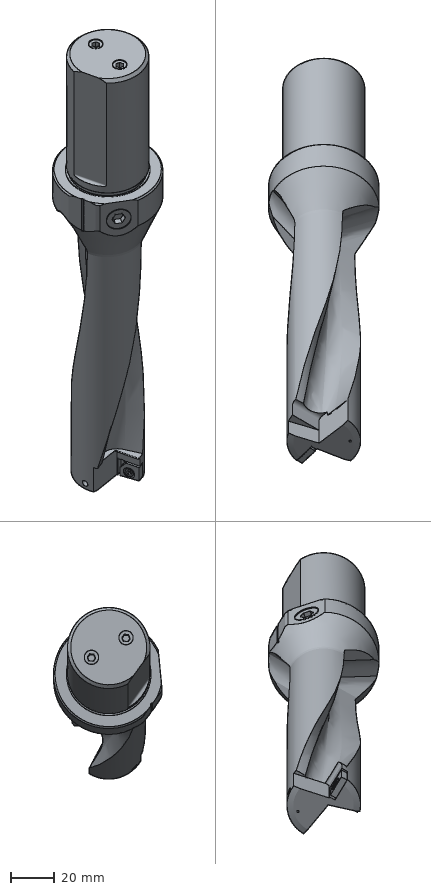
import cadquery as cq
import math


TOTAL_LENGTH = 253.0
SHANK_BOTTOM = 185.2
COLLAR_TOP = 183.5
COLLAR_BOTTOM = 167.3
CONE_BOTTOM = 146.0
FLUTED_TOP = 144.5
TIP_Z = 0.8

SHANK_RADIUS = 19.0
RELIEF_RADIUS = 18.2
COLLAR_DIAMETER = 50.9
COLLAR_RADIUS = COLLAR_DIAMETER / 2
COLLAR_GROOVE_RADIUS = 19.5
COLLAR_GROOVE_DEPTH = 0.5
CONE_END_RADIUS = 17.2
DRILL_RADIUS = 17.0
OUTSIDE = 2 * COLLAR_RADIUS

SHANK_BEVEL = 1.5
COLLAR_BEVEL = 0.8
TIP_BEVEL_WIDTH = 3.0
TIP_BEVEL_HEIGHT = 0.8

SHANK_FLAT_OFFSET = 17.0
SHANK_FLAT_BOTTOM = 189.0
SHANK_FLAT_ROOT = 0.8

COLLAR_DEPTH = 49.8
FRONT_FLAT_OFFSET = COLLAR_DEPTH - COLLAR_RADIUS
PLUG_FLAT_OFFSET = 23.8
PLUG_FLAT_ANGLE = -49.0
MARK_WIDTH = 1.0
MARK_DEPTH = 0.5
MARK_BOTTOM = 164.0

SIDE_PLUG_DIAMETER = 11.6
SIDE_PLUG_LENGTH = 7.5
SIDE_PLUG_SOCKET = 6.3
SIDE_PLUG_Z = 172.8
END_PLUG_DIAMETER = 6.5
END_PLUG_LENGTH = 6.3
END_PLUG_SOCKET = 3.8
END_PLUG_X = 8.4
END_PLUG_Y = -3.8
PLUG_RECESS = 0.5
SOCKET_DEPTH = 3.0

FLUTE_WALL_OUTER = (-2.0, -25.3)
FLUTE_WALL_INNER = (-0.8, -8.4)
FLUTE_FLOOR_MIDDLE = (-1.3, -3.8)
FLUTE_FLOOR_END = (-2.5, -1.5)
FIRST_LIP = [(-12.7, 1.0), (-25.3, 3.8)]
SECOND_LIP = [(-12.1, -0.5), (-25.3, 2.3)]
FLUTE_TOP = 147.5
FLUTE_BOTTOM = 16.2
FLUTE_STEPS = 12
SECOND_FLUTE_ANGLE = 186.0
TWIST_EASE_LENGTH = 70.9
TWIST_RATE = 0.8536
RUNOUT_DIRECTION = (-0.3, -1.1, 1.0)
RUNOUT_HEIGHT = 30.4

CENTRE_NOTCH_TOP = 18.5
CENTRE_NOTCH_STEP = 9.9
CENTRE_NOTCH_CORNER = (1.5, 1.5)
CENTRE_NOTCH_EDGE_Y = -2.3
CENTRE_NOTCH_LOWER_EDGE = (6.0, 17.7)
OUTER_NOTCH_TOP = 16.2
NOTCH_FILLET = 1.8
OUTER_NOTCH_CORNER_X = 4.8
OUTER_NOTCH_EDGE_X = 1.8
TIP_NIB_CENTRE = (-8.0, -9.0)
TIP_NIB_RADIUS = 0.5
TIP_HOLE_X = -2.8
TIP_HOLE_Z = 4.8
TIP_HOLE_DIAMETER = 3.0

INSERT_LEFT = 6.3
INSERT_RIGHT = 16.5
INSERT_TOP = 9.5
INSERT_SLOPE = 0.8
INSERT_THICKNESS = 3.0
INSERT_CORNER_WIDTH = 3.3
INSERT_CORNER_HEIGHT = 4.0
INSERT_GAP = 1.0
RELIEF_HOLE_X = 7.5
RELIEF_HOLE_Z = 9.0
RELIEF_HOLE_DIAMETER = 3.5
RELIEF_HOLE_DEPTH = 4.0
SCREW_X = 11.1
SCREW_Z = 4.3
COUNTERSINK = 0.8
SCREW_HEAD_DIAMETER = 4.3
SCREW_HEAD_LENGTH = 2.0
SCREW_SHANK_DIAMETER = 3.0
SCREW_LENGTH = 7.5
SCREW_SOCKET = 2.5
SCREW_SOCKET_DEPTH = 1.3


def blank():
    """Turned shape of the drill body."""
    outline = [
        (0, TIP_Z),
        (DRILL_RADIUS - TIP_BEVEL_WIDTH, TIP_Z),
        (DRILL_RADIUS, TIP_Z + TIP_BEVEL_HEIGHT),
        (DRILL_RADIUS, FLUTED_TOP),
        (CONE_END_RADIUS, CONE_BOTTOM),
        (COLLAR_RADIUS, COLLAR_BOTTOM),
        (COLLAR_RADIUS, COLLAR_TOP - COLLAR_BEVEL),
        (COLLAR_RADIUS - COLLAR_BEVEL, COLLAR_TOP),
        (COLLAR_GROOVE_RADIUS, COLLAR_TOP),
        (COLLAR_GROOVE_RADIUS, COLLAR_TOP - COLLAR_GROOVE_DEPTH),
        (RELIEF_RADIUS, COLLAR_TOP - COLLAR_GROOVE_DEPTH),
        (RELIEF_RADIUS, SHANK_BOTTOM - (SHANK_RADIUS - RELIEF_RADIUS)),
        (SHANK_RADIUS, SHANK_BOTTOM),
        (SHANK_RADIUS, TOTAL_LENGTH - SHANK_BEVEL),
        (SHANK_RADIUS - SHANK_BEVEL, TOTAL_LENGTH),
        (0, TOTAL_LENGTH),
    ]
    return cq.Workplane("XZ").polyline(outline).close().revolve(360, (0, 0), (0, 1))


def outer_block(offset, angle, bottom, top):
    """Block that leaves a flat at a distance from the axis, facing the given angle."""
    block = cq.Workplane("XY").box(OUTSIDE, 2 * OUTSIDE, top - bottom, centered=(False, True, False))
    return block.translate((offset, 0, bottom)).rotate((0, 0, 0), (0, 0, 1), angle)


def cut_flats(body):
    shank_block = outer_block(SHANK_FLAT_OFFSET, -90, SHANK_FLAT_BOTTOM, TOTAL_LENGTH)
    body = body.cut(shank_block.edges(">Y and <Z").fillet(SHANK_FLAT_ROOT))
    body = body.cut(outer_block(FRONT_FLAT_OFFSET, -90, CONE_BOTTOM, COLLAR_TOP))
    body = body.cut(outer_block(PLUG_FLAT_OFFSET, PLUG_FLAT_ANGLE, CONE_BOTTOM, COLLAR_TOP))
    mark_height = COLLAR_TOP - MARK_BOTTOM
    mark = cq.Workplane("XY").box(MARK_WIDTH, 2 * MARK_DEPTH, mark_height, centered=(True, True, False))
    return body.cut(mark.translate((0, -FRONT_FLAT_OFFSET, MARK_BOTTOM)))


def flute_twist(z):
    """Degrees the flute section has turned at height z, zero at the upper end."""
    run = FLUTE_TOP - z
    eased = min(run, TWIST_EASE_LENGTH)
    return TWIST_RATE * (eased**2 / (2 * TWIST_EASE_LENGTH) + run - eased)


def flute_section(z, lip):
    """Closed flute wire at height z: straight wall, round bottom, sloping lip, open outside."""
    lip_start, lip_end = lip
    wire = (
        cq.Workplane("XY")
        .moveTo(*FLUTE_WALL_OUTER)
        .lineTo(*FLUTE_WALL_INNER)
        .threePointArc(FLUTE_FLOOR_MIDDLE, FLUTE_FLOOR_END)
        .tangentArcPoint(lip_start, relative=False)
        .lineTo(*lip_end)
        .lineTo(lip_end[0], FLUTE_WALL_OUTER[1])
        .close()
        .val()
    )
    return wire.rotate(cq.Vector(), cq.Vector(0, 0, 1), -flute_twist(z)).translate(cq.Vector(0, 0, z))


def flute_cutters(lip):
    """Twisted groove and the run-out that rises outwards from its upper end through the cone."""
    step = (FLUTE_TOP - FLUTE_BOTTOM) / FLUTE_STEPS
    sections = [flute_section(FLUTE_BOTTOM + i * step, lip) for i in range(FLUTE_STEPS + 1)]
    groove = cq.Solid.makeLoft(sections)
    rise = cq.Vector(*RUNOUT_DIRECTION) * RUNOUT_HEIGHT
    return [groove, cq.Solid.extrudeLinear(sections[-1], [], rise)]


def cut_flutes(body):
    for angle, lip in ((0, FIRST_LIP), (SECOND_FLUTE_ANGLE, SECOND_LIP)):
        for cutter in flute_cutters(lip):
            body = body.cut(cq.Workplane(cutter.rotate(cq.Vector(), cq.Vector(0, 0, 1), angle)))
    return body


def centre_notch_cutter(floor_end, top):
    """Prism from the tip to the given height, bounded by the notch wall and a floor."""
    wall_edge = (-COLLAR_RADIUS, CENTRE_NOTCH_EDGE_Y)
    outline = [wall_edge, CENTRE_NOTCH_CORNER, floor_end, (-COLLAR_RADIUS, COLLAR_RADIUS)]
    return cq.Workplane("XY").polyline(outline).close().extrude(top)


def cut_centre_notch(body):
    """Notch on the -X side, with a deeper sloping floor next to the tip."""
    upper = centre_notch_cutter((CENTRE_NOTCH_CORNER[0], COLLAR_RADIUS), CENTRE_NOTCH_TOP)
    lower = centre_notch_cutter(CENTRE_NOTCH_LOWER_EDGE, CENTRE_NOTCH_STEP)
    return body.cut(upper.edges(">X and >Z").fillet(NOTCH_FILLET)).cut(lower)


def cut_outer_notch(body):
    """Notch on the +X side; its flat seat lies in the plane of the axis."""
    outline = [
        (COLLAR_RADIUS, 0),
        (OUTER_NOTCH_CORNER_X, 0),
        (OUTER_NOTCH_EDGE_X, -DRILL_RADIUS),
        (OUTER_NOTCH_EDGE_X, -COLLAR_RADIUS),
        (COLLAR_RADIUS, -COLLAR_RADIUS),
    ]
    cutter = cq.Workplane("XY").polyline(outline).close().extrude(OUTER_NOTCH_TOP)
    return body.cut(cutter.edges(">Y and >Z").fillet(NOTCH_FILLET))


def front_cylinder(x, z, diameter, start, length):
    """Cylinder running toward +Y from y = start."""
    return cq.Workplane("XZ", origin=(x, start, z)).circle(diameter / 2).extrude(-length)


def add_tip_nib(body):
    """Small pointed nib that makes the lowest point of the drill."""
    nib = cq.Solid.makeCone(0, TIP_NIB_RADIUS, TIP_Z, cq.Vector(*TIP_NIB_CENTRE, 0))
    return body.union(cq.Workplane(nib))


def cut_tip_hole(body):
    """Cross hole from the -Y surface to the centre notch."""
    hole = front_cylinder(TIP_HOLE_X, TIP_HOLE_Z, TIP_HOLE_DIAMETER, -COLLAR_RADIUS, COLLAR_RADIUS)
    return body.cut(hole)


def insert_plate():
    """Insert plate with its inner upper corner cut off."""
    outline = [
        (INSERT_LEFT, TIP_Z),
        (INSERT_RIGHT, TIP_Z + INSERT_SLOPE),
        (INSERT_RIGHT, INSERT_TOP),
        (INSERT_LEFT + INSERT_CORNER_WIDTH, INSERT_TOP),
        (INSERT_LEFT, INSERT_TOP - INSERT_CORNER_HEIGHT),
    ]
    return cq.Workplane("XZ").polyline(outline).close().extrude(-INSERT_THICKNESS)


def cut_insert_pocket(body):
    """Recess that holds the insert with a gap on two sides, and a relief hole at its corner."""
    left = INSERT_LEFT - INSERT_GAP
    height = INSERT_TOP + INSERT_GAP
    pocket = cq.Workplane("XY").box(OUTSIDE, INSERT_THICKNESS, height, centered=False)
    body = body.cut(pocket.translate((left, 0, 0)))
    return body.cut(
        front_cylinder(RELIEF_HOLE_X, RELIEF_HOLE_Z, RELIEF_HOLE_DIAMETER, 0, RELIEF_HOLE_DEPTH)
    )


def screw_blank():
    head = front_cylinder(SCREW_X, SCREW_Z, SCREW_HEAD_DIAMETER, 0, SCREW_HEAD_LENGTH)
    return head.union(front_cylinder(SCREW_X, SCREW_Z, SCREW_SHANK_DIAMETER, 0, SCREW_LENGTH))


def make_insert():
    """Insert with a countersunk hole filled by the screw."""
    head_radius = SCREW_HEAD_DIAMETER / 2
    countersink = cq.Solid.makeCone(
        head_radius + COUNTERSINK,
        head_radius,
        COUNTERSINK,
        cq.Vector(SCREW_X, 0, SCREW_Z),
        cq.Vector(0, 1, 0),
    )
    return insert_plate().cut(cq.Workplane(countersink)).cut(screw_blank())


def make_screw():
    socket = cq.Workplane("XZ", origin=(SCREW_X, 0, SCREW_Z)).polygon(6, SCREW_SOCKET)
    return screw_blank().cut(socket.extrude(-SCREW_SOCKET_DEPTH))


def side_plug_plane():
    angle = math.radians(PLUG_FLAT_ANGLE)
    outward = (math.cos(angle), math.sin(angle), 0)
    origin = (PLUG_FLAT_OFFSET * outward[0], PLUG_FLAT_OFFSET * outward[1], SIDE_PLUG_Z)
    return cq.Plane(origin=origin, xDir=(-outward[1], outward[0], 0), normal=outward)


def end_plug_planes():
    return [
        cq.Plane(origin=(side * END_PLUG_X, side * END_PLUG_Y, TOTAL_LENGTH)) for side in (1, -1)
    ]


def plug_hole(plane, diameter, length):
    """Blind hole from the plane that holds a recessed plug."""
    return cq.Workplane(plane).circle(diameter / 2).extrude(-length - PLUG_RECESS)


def make_plug(plane, diameter, length, socket):
    """Round plug with a hexagon socket, set just below the plane."""
    face = cq.Workplane(plane).workplane(offset=-PLUG_RECESS)
    plug = face.circle(diameter / 2).extrude(-length)
    return plug.cut(face.polygon(6, socket).extrude(-SOCKET_DEPTH))


def make_drill_body():
    body = cut_flats(blank())
    body = cut_flutes(body)
    body = cut_centre_notch(body)
    body = cut_outer_notch(body)
    body = cut_tip_hole(body)
    body = add_tip_nib(body)
    body = cut_insert_pocket(body)
    body = body.cut(screw_blank())
    body = body.cut(plug_hole(side_plug_plane(), SIDE_PLUG_DIAMETER, SIDE_PLUG_LENGTH))
    for plane in end_plug_planes():
        body = body.cut(plug_hole(plane, END_PLUG_DIAMETER, END_PLUG_LENGTH))
    return body


drill_body = make_drill_body()
insert = make_insert()
insert_screw = make_screw()
side_plug = make_plug(side_plug_plane(), SIDE_PLUG_DIAMETER, SIDE_PLUG_LENGTH, SIDE_PLUG_SOCKET)
end_plugs = [
    make_plug(plane, END_PLUG_DIAMETER, END_PLUG_LENGTH, END_PLUG_SOCKET) for plane in end_plug_planes()
]

result = cq.Compound.makeCompound(
    [
        drill_body.solids().val(),
        insert.solids().val(),
        insert_screw.solids().val(),
        side_plug.solids().val(),
        *[plug.solids().val() for plug in end_plugs],
    ]
)